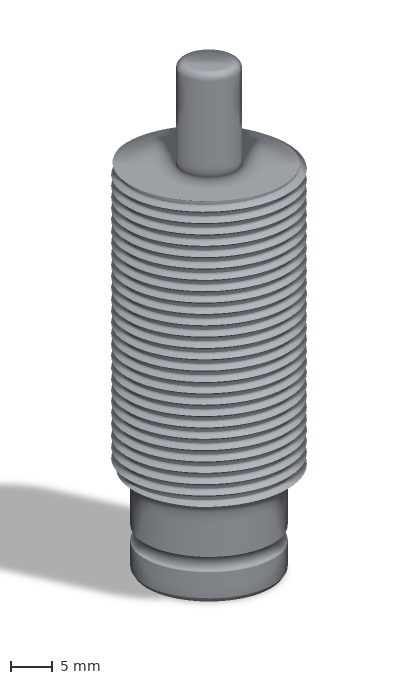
import cadquery as cq
import math

total_height = 67.4
sleeve_bottom = 13.7
sleeve_length = 40.05
sleeve_top = sleeve_bottom + sleeve_length

plunger_radius = 4.0
plunger_fillet = 1.0

base_radius = 9.5
base_chamfer_height = 0.6
base_chamfer_width = 0.4
groove_radius = 1.0
groove_height = 5.05

thread_radius = 11.8
thread_root_radius = 10.9
thread_turns = 26.7
thread_pitch = sleeve_length / thread_turns
thread_angle = 60
crest_below_top = 0.9
thread_embed = 0.15
overrun_turns = 2


def make_body():
    """Revolve the base, the thread core and the plunger."""
    fillet_mid = plunger_fillet * math.sqrt(0.5)
    profile = (
        cq.Workplane("XZ")
        .lineTo(base_radius - base_chamfer_width, 0)
        .lineTo(base_radius, base_chamfer_height)
        .lineTo(base_radius, groove_height - groove_radius)
        .threePointArc(
            (base_radius - groove_radius, groove_height),
            (base_radius, groove_height + groove_radius),
        )
        .lineTo(base_radius, sleeve_bottom)
        .lineTo(thread_root_radius, sleeve_bottom)
        .lineTo(thread_root_radius, sleeve_top)
        .lineTo(plunger_radius, sleeve_top)
        .lineTo(plunger_radius, total_height - plunger_fillet)
        .threePointArc(
            (plunger_radius - plunger_fillet + fillet_mid, total_height - plunger_fillet + fillet_mid),
            (plunger_radius - plunger_fillet, total_height),
        )
        .lineTo(0, total_height)
        .close()
    )
    return profile.revolve(360, (0, 0, 0), (0, 1, 0))


def make_threaded_sleeve():
    """Join the ridge to a core, both longer than the sleeve, then trim them to its length."""
    turns = math.ceil(thread_turns) + 2 * overrun_turns
    helix_height = turns * thread_pitch
    overrun = overrun_turns * thread_pitch
    crest_start = sleeve_top - crest_below_top - (turns - overrun_turns) * thread_pitch
    inner_radius = thread_root_radius - thread_embed
    half_base = (thread_radius - inner_radius) * math.tan(math.radians(thread_angle / 2))

    helix = cq.Wire.makeHelix(thread_pitch, helix_height, inner_radius)
    ridge = (
        cq.Workplane("XZ")
        .moveTo(inner_radius, -half_base)
        .lineTo(thread_radius, 0)
        .lineTo(inner_radius, half_base)
        .close()
        .sweep(cq.Workplane(helix), isFrenet=True)
        .translate((0, 0, crest_start))
    )
    core = (
        cq.Workplane("XY", origin=(0, 0, crest_start - overrun))
        .circle(thread_root_radius)
        .extrude(helix_height + 2 * overrun)
    )
    sleeve_width = 3 * thread_radius
    sleeve_space = (
        cq.Workplane("XY", origin=(0, 0, sleeve_bottom))
        .rect(sleeve_width, sleeve_width)
        .extrude(sleeve_length)
    )
    return core.union(ridge).intersect(sleeve_space)


result = make_body().union(make_threaded_sleeve())